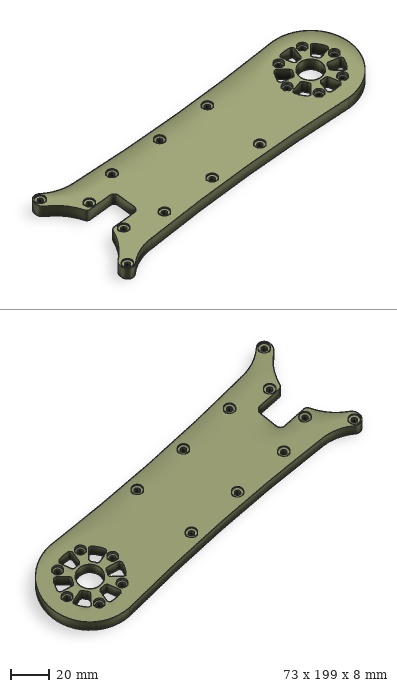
import cadquery as cq
import math

overall_length = 199.0
overall_width = 73.0
thickness = 8.0
head_radius = 28.5

flank_length = 144.5
waist_half_width = 26.3

tip_hole_x = 32.5
tip_flat_length = 1.0
heel_radius = 5.0
heel_end_angle = 215.0
tip_radius = overall_width / 2 - tip_hole_x
tip_y = head_radius + tip_radius - overall_length

notch_half_width = 9.0
notch_top_y = -135.3
notch_mouth_y = -154.8
notch_corner_radius = 3.2
notch_mouth_radius = 2.4

bore_diameter = 15.3
head_hole_circle_radius = 17.3
head_hole_count = 6
window_inner_radius = 9.4
window_outer_radius = 19.0
window_half_angle = 16.0
window_corner_radius = 1.8

head_hole_diameter = 3.8
head_counterbore_diameter = 6.2
head_counterbore_depth = 2.0
body_hole_diameter = 3.4
body_counterbore_diameter = 6.5
body_counterbore_depth = 1.0
body_hole_x = 19.5
body_hole_first_y = -56.5
body_hole_pitch = 35.0
body_hole_rows = 3
notch_hole_x = 12.7
notch_hole_y = -149.8


def polar(radius, angle_degrees, center=(0.0, 0.0)):
    """Point at a distance and direction from a centre."""
    angle = math.radians(angle_degrees)
    return (center[0] + radius * math.cos(angle), center[1] + radius * math.sin(angle))


def right_half_plate():
    """Half of the plate on the +X side, cut along the symmetry plane."""
    tip_center = (tip_hole_x, tip_y)

    drop = -flank_length - tip_y
    offset = head_radius - tip_hole_x
    foot_radius = (drop**2 + offset**2 - tip_radius**2) / (2 * (tip_radius - offset))
    foot_center = (head_radius + foot_radius, -flank_length)
    touch_angle = math.degrees(math.atan2(drop, foot_center[0] - tip_hole_x))
    tip_start = polar(tip_radius, touch_angle, tip_center)
    foot_mid = polar(foot_radius, 180 + touch_angle / 2, foot_center)

    heel_center = (tip_hole_x - tip_flat_length, tip_y - tip_radius + heel_radius)
    tip_mid = polar(tip_radius, (touch_angle - 90) / 2, tip_center)
    tip_bottom = polar(tip_radius, -90, tip_center)
    heel_bottom = polar(heel_radius, -90, heel_center)
    heel_mid = polar(heel_radius, (heel_end_angle + 270) / 2, heel_center)
    heel_end = polar(heel_radius, heel_end_angle, heel_center)

    return (
        cq.Workplane("XY")
        .moveTo(0, head_radius)
        .threePointArc(polar(head_radius, 45), (head_radius, 0))
        .threePointArc((waist_half_width, -flank_length / 2), (head_radius, -flank_length))
        .threePointArc(foot_mid, tip_start)
        .threePointArc(tip_mid, tip_bottom)
        .lineTo(*heel_bottom)
        .threePointArc(heel_mid, heel_end)
        .tangentArcPoint((notch_half_width, notch_mouth_y), relative=False)
        .lineTo(notch_half_width, notch_top_y)
        .lineTo(0, notch_top_y)
        .close()
        .extrude(thickness)
    )


def plate():
    """Full plate with the notch corners rounded."""
    half = right_half_plate()
    body = half.union(half.mirror("YZ")).clean()

    def notch_edges(y):
        points = [(side * notch_half_width, y, thickness / 2) for side in (-1, 1)]
        selectors = [cq.selectors.NearestToPointSelector(point) for point in points]
        return selectors[0] + selectors[1]

    body = body.edges("|Z").edges(notch_edges(notch_top_y)).fillet(notch_corner_radius)
    return body.edges("|Z").edges(notch_edges(notch_mouth_y)).fillet(notch_mouth_radius)


def window(direction):
    """Ring-sector cutter with rounded corners, centred on a direction."""
    start = direction - window_half_angle
    end = direction + window_half_angle
    return (
        cq.Workplane("XY")
        .moveTo(*polar(window_inner_radius, start))
        .lineTo(*polar(window_outer_radius, start))
        .threePointArc(polar(window_outer_radius, direction), polar(window_outer_radius, end))
        .lineTo(*polar(window_inner_radius, end))
        .threePointArc(polar(window_inner_radius, direction), polar(window_inner_radius, start))
        .close()
        .extrude(thickness)
        .edges("|Z")
        .fillet(window_corner_radius)
    )


def drill(body, points, hole_diameter, counterbore_diameter, counterbore_depth):
    """Through holes counterbored from the top face."""
    return (
        body.faces(">Z")
        .workplane(origin=(0, 0, thickness))
        .pushPoints(points)
        .cboreHole(hole_diameter, counterbore_diameter, counterbore_depth)
    )


result = plate()
result = result.faces(">Z").workplane(origin=(0, 0, thickness)).hole(bore_diameter)

head_step = 360 / head_hole_count
for index in range(head_hole_count):
    result = result.cut(window(index * head_step))

head_points = [
    polar(head_hole_circle_radius, (index + 0.5) * head_step) for index in range(head_hole_count)
]
result = drill(result, head_points, head_hole_diameter, head_counterbore_diameter, head_counterbore_depth)

right_points = [(body_hole_x, body_hole_first_y - row * body_hole_pitch) for row in range(body_hole_rows)]
right_points += [(notch_hole_x, notch_hole_y), (tip_hole_x, tip_y)]
body_points = [(side * x, y) for side in (-1, 1) for x, y in right_points]
result = drill(result, body_points, body_hole_diameter, body_counterbore_diameter, body_counterbore_depth)